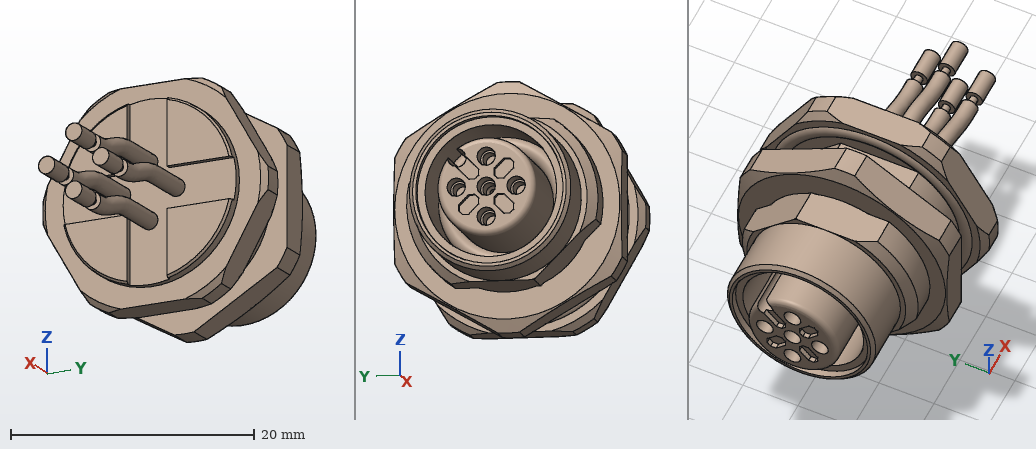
import cadquery as cq
import math


INSERT_DIAMETER = 8.23
INSERT_FACE_FILLET = 0.48
CONTACT_CIRCLE_RADIUS = 2.5
CONTACT_HOLE_DIAMETER = 1.15
CONTACT_MOUTH_DIAMETER = 1.5
CONTACT_MOUTH_DEPTH = 1.6
CONTACT_HOLE_DEPTH = 3.2
CENTRE_PILOT_DIAMETER = 0.7
CENTRE_CONE_DEPTH = 0.32
CENTRE_PILOT_DEPTH = 0.95
SLOT_WIDTH = 1.15
SLOT_INNER_END = 1.13
SLOT_OUTER_END = 3.02
SLOT_CORNER_CHAMFER = 0.35
SLOT_DEPTH = 0.45
KEYWAY_DIAMETER = 1.48
KEYWAY_RADIUS = 3.55
KEYWAY_ANGLE = 45

SLEEVE_DIAMETER = 13.5
SLEEVE_START = 1.45
SLEEVE_CHAMFER = 0.32
SLEEVE_MOUTH_DIAMETER = 12.3
SLEEVE_MOUTH_DEPTH = 0.65
SLEEVE_BORE_DIAMETER = 11.0
SLEEVE_BORE_FLOOR = 8.35
INNER_SEAL_OVERLAP = 0.05
BODY_DIAMETER = 16.0
BODY_START = 6.5
BODY_CHAMFER = 0.77
BODY_ACROSS_FLATS = 13.5
FLAT_ANGLES = (90, 45)

HEX_ACROSS_FLATS = 19.03
NUT_START = 9.52
NUT_END = 12.35
NUT_CORNER_DIAMETER = 21.0
NUT_FACE_DIAMETER = 18.85
NUT_CHAMFER_LENGTH = 0.5
NUT_BORE_DIAMETER = 14.35
FLANGE_START = 15.2
FLANGE_END = 17.95
FLANGE_CORNER_DIAMETER = 20.9
FLANGE_FRONT_CHAMFER = 0.58
FLANGE_BACK_CHAMFER = 0.48

PANEL_SEAL_SECTION = 1.4
PANEL_SEAL_OUTER_DIAMETER = 18.58
PANEL_SEAL_FRONT = 14.92

COLLAR_END = 19.0
COLLAR_CHAMFER = 0.2
COLLAR_SLOT_WIDTH = 3.65
COLLAR_SLOT_DEPTH = 0.48
COLLAR_SLOT_FLOOR = COLLAR_END - COLLAR_SLOT_DEPTH

WIRE_DIAMETER = 1.5
WIRE_BEND_START = 22.57
WIRE_BEND_END = 28.07
WIRE_DROP = 1.2
WIRE_JACKET_END = 28.77
STRAND_DIAMETER = 0.7
TIP_START = 29.6
TIP_END = 32.15

OUTER_CONTACTS = [
    (CONTACT_CIRCLE_RADIUS, 0),
    (0, CONTACT_CIRCLE_RADIUS),
    (-CONTACT_CIRCLE_RADIUS, 0),
    (0, -CONTACT_CIRCLE_RADIUS),
]


def rod(start, end, diameter, y=0, z=0):
    """Round bar along X between two stations."""
    plane = cq.Workplane("YZ", origin=(start, y, z))
    return plane.circle(diameter / 2).extrude(end - start)


def hexagon(start, end):
    """Hexagonal prism along X with two corners on the Y axis."""
    across_corners = HEX_ACROSS_FLATS / math.cos(math.radians(30))
    return cq.Workplane("YZ", origin=(start, 0, 0)).polygon(6, across_corners).extrude(end - start)


def spin(profile):
    """Solid of revolution about X from (station, radius) points."""
    return cq.Workplane("XY").polyline(profile).close().revolve(360, (0, 0, 0), (1, 0, 0))


def ring_seal(centre_x, centre_radius, section):
    """O-ring around the X axis."""
    circle = cq.Workplane("XY").moveTo(centre_x, centre_radius).circle(section / 2)
    return circle.revolve(360, (0, 0, 0), (1, 0, 0))


def make_body():
    """Threaded barrel with two pairs of flats, and the sleeve in front of it."""
    body = rod(BODY_START, FLANGE_START, BODY_DIAMETER).faces("<X").chamfer(BODY_CHAMFER)
    for angle in FLAT_ANGLES:
        slab = cq.Workplane("XY").box(2 * FLANGE_START, BODY_ACROSS_FLATS, 2 * BODY_DIAMETER)
        body = body.intersect(slab.rotate((0, 0, 0), (1, 0, 0), angle))

    sleeve = rod(SLEEVE_START, BODY_START, SLEEVE_DIAMETER).faces("<X").chamfer(SLEEVE_CHAMFER)
    mouth = rod(SLEEVE_START, SLEEVE_START + SLEEVE_MOUTH_DEPTH, SLEEVE_MOUTH_DIAMETER)
    sleeve_bore = rod(SLEEVE_START, SLEEVE_BORE_FLOOR, SLEEVE_BORE_DIAMETER)
    return body.union(sleeve).cut(mouth).cut(sleeve_bore)


def make_inner_seal():
    """Rounded ring at the bore floor, squeezed into the gap around the insert."""
    section = (SLEEVE_BORE_DIAMETER - INSERT_DIAMETER) / 2 + INNER_SEAL_OVERLAP
    centre_radius = (SLEEVE_BORE_DIAMETER + INSERT_DIAMETER) / 4
    return ring_seal(SLEEVE_BORE_FLOOR, centre_radius, section)


def make_slot(outer_end):
    """Shallow radial slot along Y with chamfered corners."""
    length = outer_end - SLOT_INNER_END
    centre = (outer_end + SLOT_INNER_END) / 2
    slot = cq.Workplane("YZ").center(centre, 0).rect(length, SLOT_WIDTH).extrude(SLOT_DEPTH)
    return slot.edges("|X").chamfer(SLOT_CORNER_CHAMFER)


def make_insert():
    """Contact carrier with five contact holes, four slots and a keyway."""
    insert = rod(0, FLANGE_START, INSERT_DIAMETER).faces("<X").edges().fillet(INSERT_FACE_FILLET)

    for y, z in [(0, 0)] + OUTER_CONTACTS:
        insert = insert.cut(rod(0, CONTACT_MOUTH_DEPTH, CONTACT_MOUTH_DIAMETER, y, z))
        insert = insert.cut(rod(0, CONTACT_HOLE_DEPTH, CONTACT_HOLE_DIAMETER, y, z))

    cone_end = CONTACT_HOLE_DEPTH + CENTRE_CONE_DEPTH
    pilot_end = cone_end + CENTRE_PILOT_DEPTH
    insert = insert.cut(spin([
        (CONTACT_HOLE_DEPTH, 0),
        (CONTACT_HOLE_DEPTH, CONTACT_HOLE_DIAMETER / 2),
        (cone_end, CENTRE_PILOT_DIAMETER / 2),
        (pilot_end, CENTRE_PILOT_DIAMETER / 2),
        (pilot_end, 0),
    ]))

    for quarter in range(4):
        slot = make_slot(KEYWAY_RADIUS if quarter == 0 else SLOT_OUTER_END)
        insert = insert.cut(slot.rotate((0, 0, 0), (1, 0, 0), KEYWAY_ANGLE + 90 * quarter))

    keyway = rod(0, SLEEVE_BORE_FLOOR, KEYWAY_DIAMETER, KEYWAY_RADIUS)
    return insert.cut(keyway.rotate((0, 0, 0), (1, 0, 0), KEYWAY_ANGLE))


def make_nut():
    """Lock nut with corners on Z and a conical front chamfer."""
    corner_radius = NUT_CORNER_DIAMETER / 2
    envelope = spin([
        (NUT_START, 0),
        (NUT_START, NUT_FACE_DIAMETER / 2),
        (NUT_START + NUT_CHAMFER_LENGTH, corner_radius),
        (NUT_END, corner_radius),
        (NUT_END, 0),
    ])
    nut = hexagon(NUT_START, NUT_END).rotate((0, 0, 0), (1, 0, 0), 90)
    return nut.intersect(envelope).cut(rod(NUT_START, NUT_END, NUT_BORE_DIAMETER))


def make_flange():
    """Fixed hexagon with corners on Y, chamfered on both faces, and its panel seal."""
    envelope = rod(FLANGE_START, FLANGE_END, FLANGE_CORNER_DIAMETER)
    envelope = envelope.faces("<X").chamfer(FLANGE_FRONT_CHAMFER)
    envelope = envelope.faces(">X").chamfer(FLANGE_BACK_CHAMFER)
    flange = hexagon(FLANGE_START, FLANGE_END).intersect(envelope)
    seal_radius = (PANEL_SEAL_OUTER_DIAMETER - PANEL_SEAL_SECTION) / 2
    seal_centre = PANEL_SEAL_FRONT + PANEL_SEAL_SECTION / 2
    return flange.union(ring_seal(seal_centre, seal_radius, PANEL_SEAL_SECTION))


def make_collar():
    """Round rear collar with a cross slot in its end face."""
    collar = rod(FLANGE_END, COLLAR_END, BODY_DIAMETER).faces(">X").chamfer(COLLAR_CHAMFER)
    slot_centre = COLLAR_END - COLLAR_SLOT_DEPTH / 2
    slot_plane = cq.Workplane("XY", origin=(slot_centre, 0, 0))
    slot = slot_plane.box(COLLAR_SLOT_DEPTH, BODY_DIAMETER, COLLAR_SLOT_WIDTH)
    return collar.cut(slot).cut(slot.rotate((0, 0, 0), (1, 0, 0), 90))


def make_wire(y, z):
    """Wire with an S-bend towards -Z, a bare strand and a crimped tip."""
    low_z = z - WIRE_DROP
    path = (
        cq.Workplane("XZ", origin=(0, y, 0))
        .moveTo(COLLAR_SLOT_FLOOR, z)
        .lineTo(WIRE_BEND_START, z)
        .spline([(WIRE_BEND_END, low_z)], tangents=[(1, 0), (1, 0)], includeCurrent=True)
        .lineTo(WIRE_JACKET_END, low_z)
    )
    section = cq.Workplane("YZ", origin=(COLLAR_SLOT_FLOOR, y, z)).circle(WIRE_DIAMETER / 2)
    jacket = section.sweep(path)
    strand = rod(WIRE_JACKET_END, TIP_START, STRAND_DIAMETER, y, low_z)
    tip = rod(TIP_START, TIP_END, WIRE_DIAMETER, y, low_z)
    return jacket.union(strand).union(tip)


result = make_body().union(make_insert())
for component in (make_inner_seal(), make_nut(), make_flange(), make_collar()):
    result = result.union(component)
for wire_y, wire_z in OUTER_CONTACTS:
    result = result.union(make_wire(wire_y, wire_z))